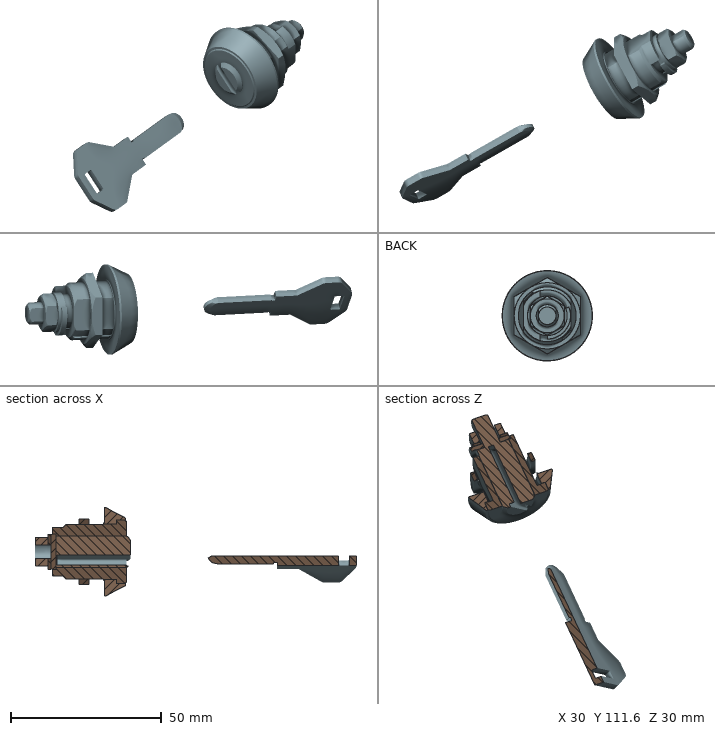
import cadquery as cq
import math

cap_front_y = 19.2
head_front_y = 20.5
bezel_front_y = 20.9
cone_rear_y = 27.4
bezel_rear_y = 28.1
panel_nut_front_y = 33.0
panel_nut_rear_y = 36.6
housing_rear_y = 41.8
plug_rear_y = 44.2
stop_block_rear_y = 45.3
stop_washer_rear_y = 45.8
washer_rear_y = 46.7
shaft_nut_rear_y = 51.0
shaft_rear_y = 55.8

bezel_diameter = 30.0
bezel_radius = bezel_diameter / 2
bezel_front_radius = 11.6
seat_radius = 10.0
seat_height = 0.3

head_radius = 10.8
head_chamfer = 0.3
head_depth = 3.3
thread_radius = 9.6
half_flat = 7.9
thread_chamfer = 1.0
groove_width = 4.0
groove_floor = 8.8
groove_turn = -45
block_radius = 8.7
block_edge_x = 2.5

panel_nut_flats = 22.0
shaft_nut_flats = 11.3
nut_chamfer_angle = 36

plug_radius = 5.9
cap_chamfer_radial = 1.2
cap_chamfer_axial = 1.0
recess_depth = 0.3
shaft_radius = 3.7
shaft_half_flat = 2.9
shaft_chamfer = 0.8

washer_radius = 6.6
lug_radius = 7.7
lug_start_angle = 158
lug_end_angle = 270

key_thickness = 2.3
key_offset = 1.5
key_tip_y = -5.7
taper_end_y = -7.8
blade_start_y = -9.7
neck_y = -28.2
shoulder_y = -29.3
flare_start_y = -36.5
flare_end_y = -44.6
bow_corner_y = -50.4
bow_end_y = -55.8
blade_width = 7.1
tip_width = 6.5
neck_width = 6.5
shoulder_width = 11.0
bow_width = 24.0
bow_end_width = 9.7
bow_fillet = 2.0
tip_thickness = 1.2
tip_bevel_end = 1.8
tip_bevel_side = 1.1
hole_width = 7.8
hole_height = 3.3
hole_center_y = -51.5
hole_fillet = 0.3

slot_width = 2.5
keyway_length = 7.2
keyway_depth = 24.5

key_plane = cq.Plane(origin=(0, 0, 0), xDir=(1, 0, -1), normal=(1, 0, 1))


def turned(profile):
    """Solid of revolution about Y from (radius, y) points."""
    return cq.Workplane("XY").polyline(profile).close().revolve(360, (0, 0, 0), (0, 1, 0))


def cylinder(radius, front_y, rear_y):
    """Cylinder on the Y axis."""
    return cq.Workplane("XZ", origin=(0, front_y, 0)).circle(radius).extrude(front_y - rear_y)


def slab(half_width, front_y, rear_y):
    """Slab between x = -half_width and x = half_width, taller and deeper than any round it trims."""
    size = 2 * bezel_radius
    return cq.Workplane("XZ", origin=(0, front_y, 0)).rect(2 * half_width, size).extrude(front_y - rear_y)


def hex_nut(flats, bore_radius, front_y, rear_y, chamfer_front):
    """Hexagon nut with corners up and down, and its corners turned off at the rear or at both ends."""
    corner_radius = flats / math.sqrt(3)
    chamfer = (corner_radius - flats / 2) * math.tan(math.radians(nut_chamfer_angle))
    blank = cq.Workplane("XZ", origin=(0, front_y, 0)).polygon(6, 2 * corner_radius)
    blank = blank.extrude(front_y - rear_y).rotate((0, 0, 0), (0, 1, 0), 90)
    if chamfer_front:
        front_edge = [(flats / 2, front_y), (corner_radius, front_y + chamfer)]
    else:
        front_edge = [(corner_radius, front_y)]
    rear_edge = [(corner_radius, rear_y - chamfer), (flats / 2, rear_y)]
    envelope = turned([(0, front_y), *front_edge, *rear_edge, (0, rear_y)])
    return blank.intersect(envelope).cut(cylinder(bore_radius, front_y, rear_y))


def double_flat_shaft(front_y, rear_y):
    """Shaft section with two flats, as it passes through the washers and the nut."""
    return cylinder(shaft_radius, front_y, rear_y).intersect(slab(shaft_half_flat, front_y, rear_y))


def make_bezel():
    seat_y = bezel_rear_y + seat_height
    pocket_y = head_front_y + head_depth
    return turned([
        (head_radius, bezel_front_y),
        (bezel_front_radius, bezel_front_y),
        (bezel_radius, cone_rear_y),
        (bezel_radius, bezel_rear_y),
        (seat_radius, bezel_rear_y),
        (seat_radius, seat_y),
        (thread_radius, seat_y),
        (thread_radius, pocket_y),
        (head_radius, pocket_y),
    ])


def make_housing():
    head_rear_y = head_front_y + head_depth
    head = turned([
        (0, head_front_y),
        (head_radius - head_chamfer, head_front_y),
        (head_radius, head_front_y + head_chamfer),
        (head_radius, head_rear_y),
        (0, head_rear_y),
    ])
    barrel = turned([
        (0, head_rear_y),
        (thread_radius, head_rear_y),
        (thread_radius, housing_rear_y - thread_chamfer),
        (thread_radius - thread_chamfer, housing_rear_y),
        (0, housing_rear_y),
    ])
    barrel = barrel.intersect(slab(half_flat, head_rear_y, housing_rear_y))

    groove_depth = thread_radius - groove_floor
    for side in (1, -1):
        groove = (
            cq.Workplane("XZ", origin=(0, head_rear_y, 0))
            .center(side * thread_radius, 0)
            .rect(2 * groove_depth, groove_width)
            .extrude(head_rear_y - housing_rear_y)
            .rotate((0, 0, 0), (0, 1, 0), groove_turn)
        )
        barrel = barrel.cut(groove)

    block_width = half_flat - block_edge_x
    block_height = stop_block_rear_y - housing_rear_y
    block = cylinder(block_radius, housing_rear_y, stop_block_rear_y)
    block = block.cut(cylinder(washer_radius, plug_rear_y, stop_block_rear_y))
    block_span = (
        cq.Workplane("XY")
        .box(block_width, block_height, 2 * block_radius, centered=(False, False, True))
        .translate((block_edge_x, housing_rear_y, 0))
    )
    block = block.intersect(block_span)

    return head.union(barrel).union(block).cut(cylinder(plug_radius, head_front_y, plug_rear_y))


def make_plug():
    barrel = turned([
        (0, cap_front_y),
        (plug_radius - cap_chamfer_radial, cap_front_y),
        (plug_radius, cap_front_y + cap_chamfer_axial),
        (plug_radius, plug_rear_y),
        (0, plug_rear_y),
    ])
    shaft = double_flat_shaft(plug_rear_y, shaft_rear_y)
    shaft = shaft.intersect(turned([
        (0, plug_rear_y),
        (shaft_radius, plug_rear_y),
        (shaft_radius, shaft_rear_y - shaft_chamfer),
        (shaft_radius - shaft_chamfer, shaft_rear_y),
        (0, shaft_rear_y),
    ]))

    recess_height = plug_rear_y - housing_rear_y
    recess = cq.Workplane("XY").box(plug_radius, recess_height, groove_width, centered=(False, False, True))
    recess = recess.translate((0, housing_rear_y, 0)).rotate((0, 0, 0), (0, 1, 0), 180 + groove_turn)
    recess = recess.cut(cylinder(plug_radius - recess_depth, housing_rear_y, plug_rear_y))
    barrel = barrel.cut(recess)

    cap_height = head_front_y - cap_front_y
    slot = cq.Workplane(key_plane).center(0, cap_front_y + cap_height / 2)
    slot = slot.rect(2 * plug_radius, cap_height).extrude(slot_width / 2, both=True)
    keyway = cq.Workplane(key_plane).center(key_offset, cap_front_y + keyway_depth / 2)
    keyway = keyway.rect(keyway_length, keyway_depth).extrude(slot_width / 2, both=True)
    return barrel.union(shaft).cut(slot).cut(keyway)


def make_stop_washer():
    disc = cylinder(washer_radius, plug_rear_y, stop_washer_rear_y)
    middle_angle = (lug_start_angle + lug_end_angle) / 2
    start, middle, end = [
        (lug_radius * math.cos(math.radians(angle)), lug_radius * math.sin(math.radians(angle)))
        for angle in (lug_start_angle, middle_angle, lug_end_angle)
    ]
    lug = (
        cq.Workplane("XZ", origin=(0, plug_rear_y, 0))
        .lineTo(*start)
        .threePointArc(middle, end)
        .close()
        .extrude(plug_rear_y - stop_washer_rear_y)
    )
    return disc.union(lug).cut(double_flat_shaft(plug_rear_y, stop_washer_rear_y))


def make_washer():
    disc = cylinder(washer_radius, stop_washer_rear_y, washer_rear_y)
    return disc.cut(cylinder(shaft_radius, stop_washer_rear_y, washer_rear_y))


def key_sketch(height):
    """Workplane parallel to the key's faces, centred on its width."""
    return cq.Workplane(key_plane).workplane(offset=height).center(key_offset, 0)


def tip_outline(sketch, end_setback, side_setback):
    """Closed outline of the rounded blade tip, its arc set back towards the bow."""
    side_y = taper_end_y - side_setback
    return (
        sketch.moveTo(-blade_width / 2, blade_start_y)
        .lineTo(-tip_width / 2, side_y)
        .threePointArc((0, key_tip_y - end_setback), (tip_width / 2, side_y))
        .lineTo(blade_width / 2, blade_start_y)
        .close()
    )


def key_bar(points):
    """Full-thickness piece of the key, symmetric across its width, from (half width, y) points."""
    mirrored = [(-half_width, y) for half_width, y in reversed(points)]
    return key_sketch(0).polyline(points + mirrored).close().extrude(key_thickness / 2, both=True)


def make_key():
    blade = key_bar([
        (blade_width / 2, blade_start_y),
        (blade_width / 2, neck_y),
        (neck_width / 2, neck_y),
        (neck_width / 2, shoulder_y),
    ])
    bow = key_bar([
        (shoulder_width / 2, shoulder_y),
        (shoulder_width / 2, flare_start_y),
        (bow_width / 2, flare_end_y),
        (bow_width / 2, bow_corner_y),
        (bow_end_width / 2, bow_end_y),
    ])
    rounded_end = cq.selectors.BoxSelector(
        (-bow_width, bow_end_y - bow_fillet, -bow_width),
        (bow_width, flare_end_y + bow_fillet, bow_width),
    )
    bow = bow.edges("|(1, 0, 1)").edges(rounded_end).fillet(bow_fillet)
    hole = key_sketch(0).center(0, hole_center_y).rect(hole_width, hole_height).extrude(key_thickness, both=True)
    hole = hole.edges("|(1, 0, 1)").fillet(hole_fillet)

    tip = tip_outline(key_sketch(0), 0, 0).extrude(tip_thickness / 2, both=True)
    for side in (1, -1):
        inner = tip_outline(key_sketch(side * tip_thickness / 2), 0, 0)
        outer = tip_outline(key_sketch(side * key_thickness / 2), tip_bevel_end, tip_bevel_side)
        bevel = cq.Solid.makeLoft([inner.wire().val(), outer.wire().val()], True)
        tip = tip.union(cq.Workplane(bevel))
    return tip.union(blade).union(bow).cut(hole)


bezel = make_bezel()
housing = make_housing()
panel_nut = hex_nut(panel_nut_flats, thread_radius, panel_nut_front_y, panel_nut_rear_y, False)
plug = make_plug()
stop_washer = make_stop_washer()
washer = make_washer()
shaft_nut = hex_nut(shaft_nut_flats, shaft_radius, washer_rear_y, shaft_nut_rear_y, True)
key = make_key()

bodies = [bezel, housing, panel_nut, plug, stop_washer, washer, shaft_nut, key]
result = cq.Compound.makeCompound([body.val() for body in bodies])